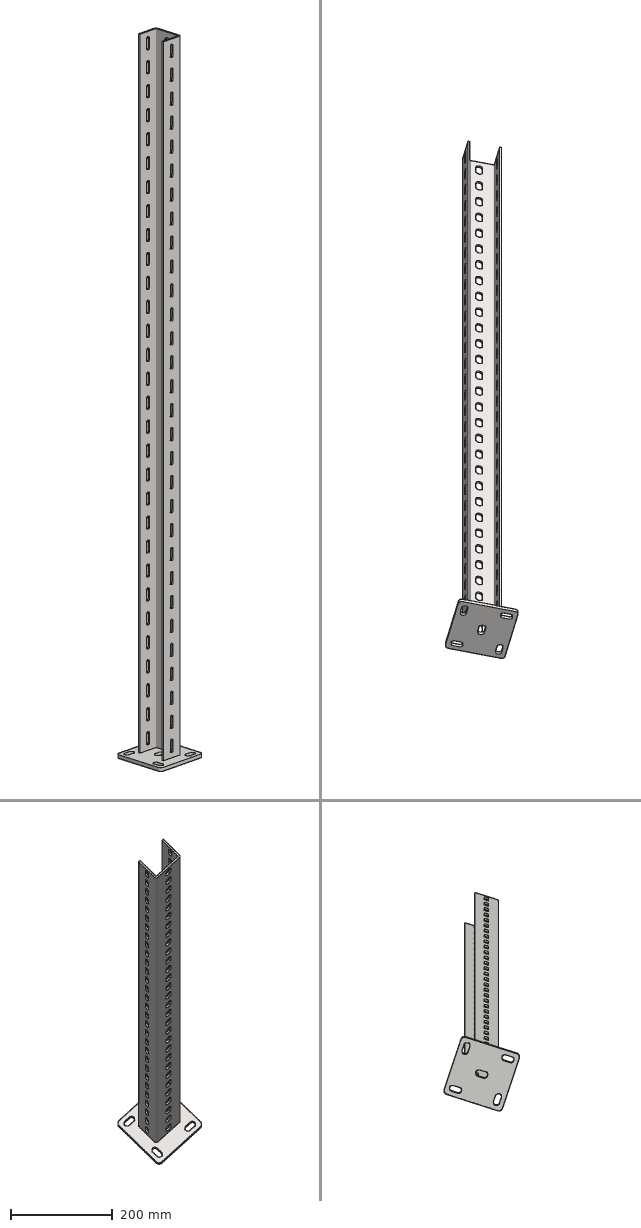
import cadquery as cq

total_height = 1508.0

plate_side = 120.0
plate_thickness = 8.0
plate_corner_radius = 8.0

anchor_length = 24.0
anchor_width = 12.0
anchor_along = 39.0
anchor_across = 45.0
anchor_count = 4

drain_length = 24.0
drain_width = 14.0

channel_width = 68.0
channel_depth = 50.0
wall = 3.9
bend_radius = 5.0
post_height = total_height - plate_thickness

slot_count = 30
slot_pitch = post_height / slot_count
web_slot_length = 25.0
web_slot_width = 14.0
flange_slot_length = 27.0
flange_slot_width = 8.3
flange_slot_y = -2.0


def make_plate():
    """Rounded square plate with its underside at Z = 0."""
    plate = (
        cq.Workplane("XY")
        .rect(plate_side, plate_side)
        .extrude(plate_thickness)
        .edges("|Z")
        .fillet(plate_corner_radius)
    )
    anchor = (
        cq.Workplane("XY")
        .center(-anchor_along, anchor_across)
        .slot2D(anchor_length, anchor_width)
        .extrude(plate_thickness)
    )
    for i in range(anchor_count):
        plate = plate.cut(anchor.rotate((0, 0, 0), (0, 0, 1), i * 360 / anchor_count))
    drain = cq.Workplane("XY").slot2D(drain_length, drain_width, 90).extrude(plate_thickness)
    return plate.cut(drain)


def make_channel():
    """Folded U-channel standing on the plate, centred on the plate in X and Y."""
    outer = (
        cq.Workplane("XY", origin=(0, 0, plate_thickness))
        .rect(channel_width, channel_depth)
        .extrude(post_height)
        .edges("|Z and >Y")
        .fillet(bend_radius)
    )
    inner = (
        cq.Workplane("XY", origin=(0, -wall, plate_thickness))
        .rect(channel_width - 2 * wall, channel_depth)
        .extrude(post_height)
        .edges("|Z and >Y")
        .fillet(bend_radius - wall)
    )
    return outer.cut(inner)


def upright_slots(plane, length, width, reach, offset=0):
    """Column of vertical slots, `offset` sideways, cutting to `reach` on both sides of the plane."""
    heights = [plate_thickness + (i + 0.5) * slot_pitch for i in range(slot_count)]
    return (
        cq.Workplane(plane)
        .pushPoints([(offset, z) for z in heights])
        .slot2D(length, width, 90)
        .extrude(reach, both=True)
    )


channel = (
    make_channel()
    .cut(upright_slots("XZ", web_slot_length, web_slot_width, channel_depth))
    .cut(upright_slots("YZ", flange_slot_length, flange_slot_width, channel_width, flange_slot_y))
)
result = make_plate().union(channel)